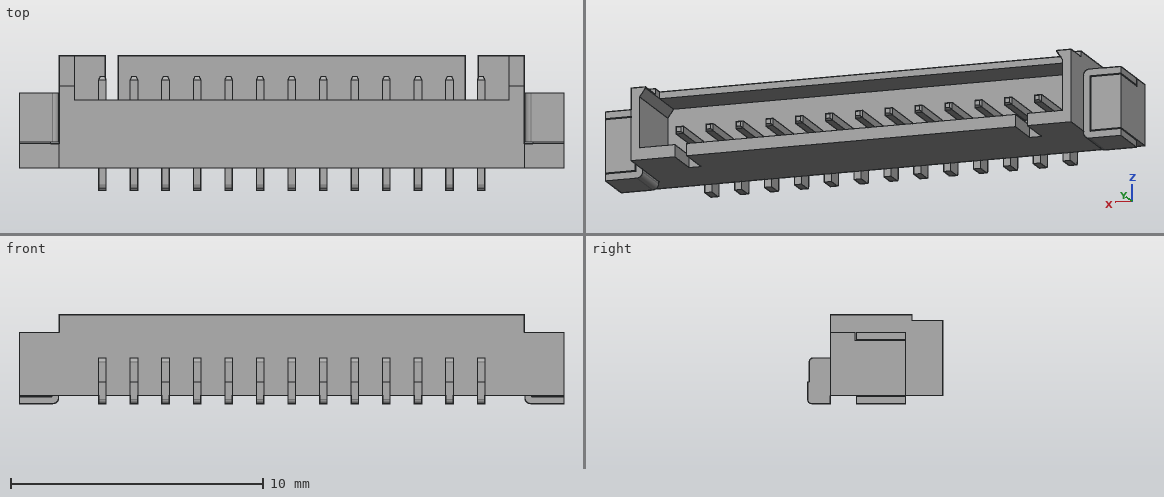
import cadquery as cq


TOTAL_LENGTH = 21.58
EAR_LENGTH = 1.58
TOP_Z = 3.53
BOTTOM_Z = 0.32
BODY_DEPTH = 4.45
EAR_DEPTH = 2.98
EAR_TOP_Z = 2.83
REAR_STEP_Y = 3.24
REAR_STEP_Z = 3.30
END_X = TOTAL_LENGTH / 2
BODY_HALF = END_X - EAR_LENGTH

SIDE_WALL = 0.60
LIP_OVERHANG = 0.24
LIP_SLOPE_HEIGHT = 0.35
FLOOR_THICKNESS = 0.50
ROOF_THICKNESS = 0.28
FRONT_WALL = 1.00
ROOF_EDGE_Y = 2.70
MOUTH_HALF = BODY_HALF - SIDE_WALL
CAVITY_HALF = MOUTH_HALF + LIP_OVERHANG
CAVITY_FLOOR_Z = BOTTOM_Z + FLOOR_THICKNESS
CAVITY_ROOF_Z = TOP_Z - ROOF_THICKNESS
LIP_FOOT_Z = CAVITY_ROOF_Z - LIP_SLOPE_HEIGHT
FLOOR_SLOT_WIDTH = 0.50
FLOOR_SLOT_X = 7.13

CONTACT_COUNT = 13
CONTACT_PITCH = 1.25
CONTACT_WIDTH = 0.30
FOOT_REACH = 0.90
FOOT_RELIEF = 0.06
FOOT_RELIEF_Z = 0.87
FOOT_TOP_Z = 1.82
FOOT_ROUND = 0.16
BLADE_HEIGHT = CONTACT_WIDTH
BLADE_TIP_Y = 3.62
BLADE_TAPER_LENGTH = 0.13
BLADE_TAPER_ANGLE = 25

CLIP_CLEARANCE = 0.04
CLIP_WEB_GAP = 0.02
SHEET = BOTTOM_Z - CLIP_CLEARANCE
CLIP_FRONT_Y = 1.03
CLIP_END_GAP = 0.06
CLIP_BEND_RADIUS = 0.24


def box_between(x_range, y_range, z_range):
    """Axis-aligned box spanning the three (low, high) ranges."""
    spans = [high - low for low, high in (x_range, y_range, z_range)]
    corner = (x_range[0], y_range[0], z_range[0])
    return cq.Workplane("XY").box(*spans, centered=False).translate(corner)


def extrude_along_y(outline, start_y, end_y):
    """Solid from a closed list of (x, z) points, running from start_y to end_y."""
    plane = cq.Workplane("XZ", origin=(0, start_y, 0))
    return plane.polyline(outline).close().extrude(start_y - end_y)


def make_shell():
    """Outer block with its two end ears and the lowered rear edge."""
    body = box_between((-BODY_HALF, BODY_HALF), (0, BODY_DEPTH), (BOTTOM_Z, TOP_Z))
    ears = box_between((-END_X, END_X), (0, EAR_DEPTH), (BOTTOM_Z, EAR_TOP_Z))
    rear_step = box_between((-BODY_HALF, BODY_HALF), (REAR_STEP_Y, BODY_DEPTH), (REAR_STEP_Z, TOP_Z))
    return body.union(ears).cut(rear_step)


def make_cavity():
    """Mating cavity narrowing under the side lips, with the open roof at the mouth."""
    outline = [
        (-CAVITY_HALF, CAVITY_FLOOR_Z),
        (CAVITY_HALF, CAVITY_FLOOR_Z),
        (CAVITY_HALF, LIP_FOOT_Z),
        (MOUTH_HALF, CAVITY_ROOF_Z),
        (-MOUTH_HALF, CAVITY_ROOF_Z),
        (-CAVITY_HALF, LIP_FOOT_Z),
    ]
    cavity = extrude_along_y(outline, FRONT_WALL, BODY_DEPTH)
    roof_opening = box_between((-MOUTH_HALF, MOUTH_HALF), (ROOF_EDGE_Y, BODY_DEPTH), (CAVITY_FLOOR_Z, TOP_Z))
    return cavity.union(roof_opening)


def make_floor_slot(center_x):
    """Keying slot through the cavity floor, open at the mouth."""
    x_range = (center_x - FLOOR_SLOT_WIDTH / 2, center_x + FLOOR_SLOT_WIDTH / 2)
    return box_between(x_range, (ROOF_EDGE_Y, BODY_DEPTH), (BOTTOM_Z, CAVITY_FLOOR_Z))


def make_contact(center_x):
    """Tall rounded foot in front, with a taper-tipped blade through the front wall into the cavity."""
    relief_y = -FOOT_REACH + FOOT_RELIEF
    taper_y = BLADE_TIP_Y - BLADE_TAPER_LENGTH
    x_range = (center_x - CONTACT_WIDTH / 2, center_x + CONTACT_WIDTH / 2)
    upper_foot = box_between(x_range, (relief_y, 0), (FOOT_RELIEF_Z, FOOT_TOP_Z))
    upper_foot = upper_foot.edges("<Y and >Z").fillet(FOOT_ROUND)
    lower_foot = box_between(x_range, (-FOOT_REACH, 0), (0, FOOT_RELIEF_Z))
    lower_foot = lower_foot.edges("<Y and <Z").fillet(FOOT_ROUND)
    blade = box_between(x_range, (0, taper_y), (FOOT_TOP_Z - BLADE_HEIGHT, FOOT_TOP_Z))
    tip = blade.faces(">Y").workplane(centerOption="CenterOfMass").rect(CONTACT_WIDTH, BLADE_HEIGHT)
    tip = tip.extrude(BLADE_TAPER_LENGTH, combine=False, taper=BLADE_TAPER_ANGLE)
    return upper_foot.union(lower_foot).union(blade.union(tip))


def make_clip():
    """C-shaped sheet clip at the +X end, opening outward around the ear."""
    web_x = BODY_HALF + CLIP_WEB_GAP
    y_range = (CLIP_FRONT_Y, EAR_DEPTH)
    block = box_between((web_x, END_X), y_range, (0, EAR_TOP_Z))
    block = block.edges("<X and |Y").fillet(CLIP_BEND_RADIUS)
    inside = box_between((web_x + SHEET, END_X), y_range, (SHEET, EAR_TOP_Z - SHEET))
    return block.cut(inside)


def make_clip_groove():
    """Groove in the +X ear for the clip's web and top arm, with clearance around the sheet."""
    y_range = (CLIP_FRONT_Y - CLIP_END_GAP, EAR_DEPTH)
    web_x = BODY_HALF + CLIP_WEB_GAP
    web_range = (BODY_HALF, web_x + SHEET + CLIP_CLEARANCE)
    web_groove = box_between(web_range, y_range, (BOTTOM_Z, EAR_TOP_Z))
    arm_floor_z = EAR_TOP_Z - SHEET - CLIP_CLEARANCE
    arm_groove = box_between((BODY_HALF, END_X), y_range, (arm_floor_z, EAR_TOP_Z))
    return web_groove.union(arm_groove)


housing = make_shell().cut(make_cavity())
clip_groove = make_clip_groove()
housing = housing.cut(clip_groove).cut(clip_groove.mirror("YZ"))
for side in (-1, 1):
    housing = housing.cut(make_floor_slot(side * FLOOR_SLOT_X))
for index in range(CONTACT_COUNT):
    contact_x = (index - (CONTACT_COUNT - 1) / 2) * CONTACT_PITCH
    housing = housing.union(make_contact(contact_x))

right_clip = make_clip()
left_clip = right_clip.mirror("YZ")

bodies = [workplane.solids().val() for workplane in (housing, right_clip, left_clip)]

result = cq.Compound.makeCompound(bodies)